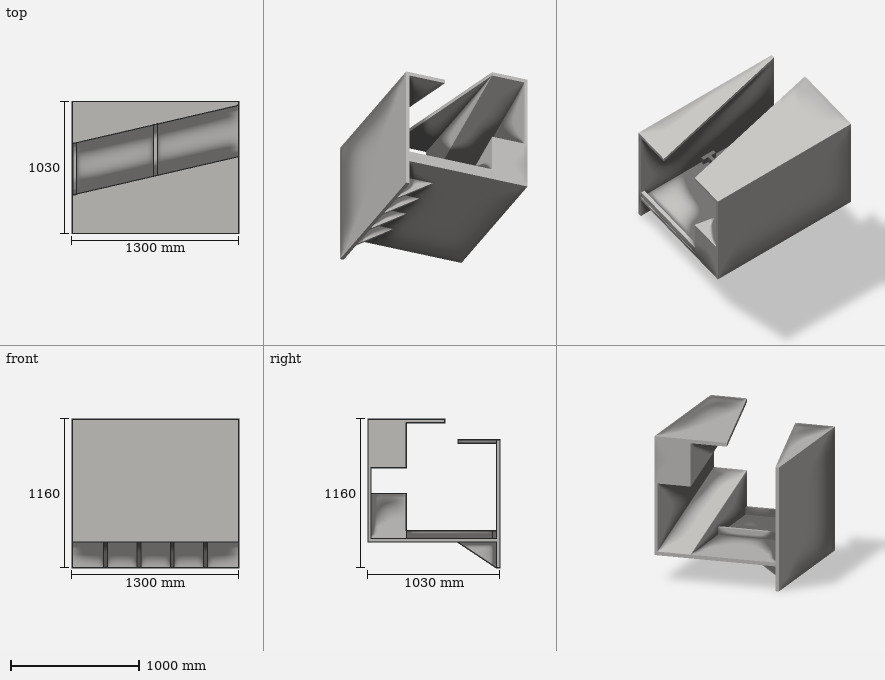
import cadquery as cq

length = 1300.0
width = 1030.0
height = 1160.0

plate = 30.0
front_wall = 25.0
floor_bottom = 200.0
floor_top = floor_bottom + plate
back_height = 1000.0
lid_bottom = height - plate
back_inner = width - plate

front_lid_start = 300.0
back_lid_start = 700.0
slot_shift = 300.0

gusset_count = 4
gusset_depth = 300.0

rail_width = 30.0
rail_height = 60.0
end_rail_x = 5.0
middle_rail_x = (length - rail_width) / 2
rail_foot_length = 120.0

wedge_reach = 300.0
wedge_drop = 350.0


def box(x, y, z, dx, dy, dz):
    """Box with its lowest corner at (x, y, z)."""
    return cq.Workplane("XY").box(dx, dy, dz, centered=False).translate((x, y, z))


def prism(points, bottom, top):
    """Vertical prism over a plan outline."""
    return cq.Workplane("XY").workplane(offset=bottom).polyline(points).close().extrude(top - bottom)


def shell():
    """Floor, front and back walls and the two tapered lids."""
    front_lid = [(0, 0), (length, 0), (length, front_lid_start + slot_shift), (0, front_lid_start)]
    back_lid = [(0, width), (length, width), (length, back_lid_start + slot_shift), (0, back_lid_start)]
    return (
        box(0, 0, floor_bottom, length, width, plate)
        .union(box(0, 0, floor_bottom, length, front_wall, height - floor_bottom))
        .union(box(0, back_inner, 0, length, plate, back_height))
        .union(prism(front_lid, lid_bottom, height))
        .union(prism(back_lid, back_height - plate, back_height))
    )


def gusset(center_x):
    """Triangular rib between the floor and the skirt of the back wall."""
    return (
        cq.Workplane("YZ")
        .workplane(offset=center_x - plate / 2)
        .polyline([(back_inner, 0), (back_inner, floor_bottom), (back_inner - gusset_depth, floor_bottom)])
        .close()
        .extrude(plate)
    )


def rail(x):
    """Rail lying across the floor from front wall to back wall."""
    return box(x, front_wall, floor_top, rail_width, back_inner - front_wall, rail_height)


def rail_foot():
    """Short bar along the back wall at the end of the middle rail."""
    x = (length - rail_foot_length) / 2
    return box(x, back_inner - rail_width, floor_top, rail_foot_length, rail_width, rail_height)


def wedge(profile):
    """Triangular XZ profile extruded from the front face inward to the wedge reach."""
    return cq.Workplane("XZ").polyline(profile).close().extrude(-wedge_reach)


def lower_wedge():
    """Ramp on the floor, tall at the start of the part and falling to nothing at the far end."""
    return wedge([(0, floor_top), (length, floor_top), (0, floor_top + wedge_drop)])


def upper_wedge():
    """Filler under the front lid, growing deeper toward the far end."""
    return wedge([(0, lid_bottom), (length, lid_bottom), (length, lid_bottom - wedge_drop)])


result = shell()
for index in range(gusset_count):
    result = result.union(gusset(length * (index + 1) / (gusset_count + 1)))
for rail_x in (end_rail_x, middle_rail_x):
    result = result.union(rail(rail_x))
result = result.union(rail_foot()).union(lower_wedge()).union(upper_wedge())